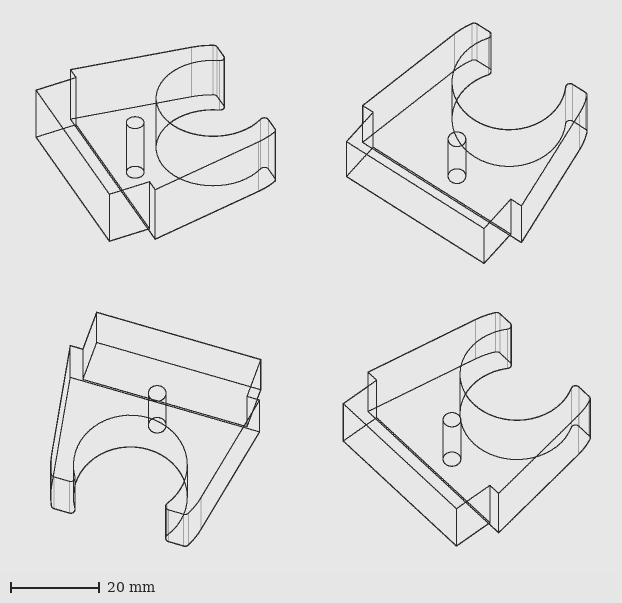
import cadquery as cq
import math

height = 15.0
base_length = 10.0
base_width = 39.0
base_relief = 0.75
body_width = 45.0
total_length = 43.25

seat_center_y = 35.0
seat_radius = 12.85
jaw_radius = 18.0
tip_fillet = 1.0

screw_hole_diameter = 4.0
screw_hole_y = 15.575


def jaw_point(angle):
    """Point on the outer jaw circle at an angle measured from +X."""
    return (
        jaw_radius * math.cos(angle),
        seat_center_y + jaw_radius * math.sin(angle),
    )


def mirrored(point):
    return (-point[0], point[1])


def make_body():
    """Tapered flanks running tangentially into the round jaws, cut flat at the tips."""
    corner = (body_width / 2, base_length)
    rise = seat_center_y - base_length
    corner_distance = math.hypot(corner[0], rise)
    tangent_angle = math.acos(jaw_radius / corner_distance) - math.atan2(rise, corner[0])
    tip_angle = math.asin((total_length - seat_center_y) / jaw_radius)

    tangent = jaw_point(tangent_angle)
    middle = jaw_point((tangent_angle + tip_angle) / 2)
    tip = jaw_point(tip_angle)

    return (
        cq.Workplane("XY")
        .moveTo(*mirrored(corner))
        .lineTo(*corner)
        .lineTo(*tangent)
        .threePointArc(middle, tip)
        .lineTo(*mirrored(tip))
        .threePointArc(mirrored(middle), mirrored(tangent))
        .close()
        .extrude(height)
    )


def cut_pipe_seat(body):
    """Round seat, open between the jaw tips, with all tip edges rounded."""
    seat = (
        cq.Workplane("XY")
        .center(0, seat_center_y)
        .circle(seat_radius)
        .extrude(height)
    )
    return body.cut(seat).faces(">Y").edges("|Z").fillet(tip_fillet)


def make_foot():
    """Narrow foot, flush with the top face and set up from the underside."""
    return (
        cq.Workplane("XY")
        .workplane(offset=base_relief)
        .center(0, base_length / 2)
        .rect(base_width, base_length)
        .extrude(height - base_relief)
    )


def make_screw_hole():
    return (
        cq.Workplane("XY")
        .center(0, screw_hole_y)
        .circle(screw_hole_diameter / 2)
        .extrude(height)
    )


clip = cut_pipe_seat(make_body())
result = clip.union(make_foot()).cut(make_screw_hole())